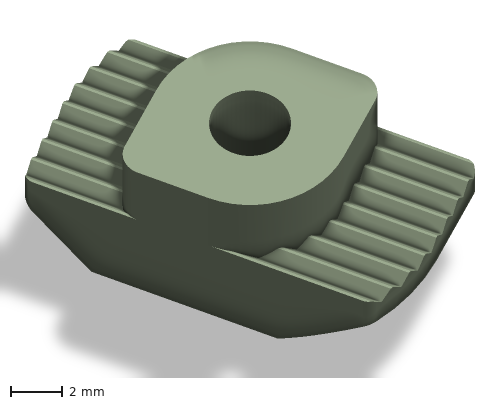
import cadquery as cq

length = 16.0
width = 8.0
base_height = 4.5
boss_height = 3.0
hole_diameter = 3.2
end_wall_start = 3.0
base_corner_radius = 0.5
boss_corner_radius = 1.0
tooth_count = 8
tooth_depth = 0.45
tooth_land = 0.11
edge_crest_drop = 0.06

half_length = length / 2
half_width = width / 2
total_height = base_height + boss_height
tooth_pitch = width / tooth_count
bottom_half_length = half_length - end_wall_start


def end_profile():
    """Half section of the base: 45 degree slope, then a vertical wall."""
    return (
        cq.Workplane("XZ")
        .moveTo(0, 0)
        .lineTo(bottom_half_length, 0)
        .lineTo(half_length, end_wall_start)
        .lineTo(half_length, base_height)
        .lineTo(0, base_height)
        .close()
    )


def make_base():
    """Bar with square ends on two opposite quarters and conical ends on the others."""
    turned = end_profile().revolve(360, (0, 0, 0), (0, 1, 0))
    bar = cq.Workplane("XY").box(length, width, base_height, centered=(True, True, False))
    quarter = end_profile().extrude(-half_width)
    opposite_quarter = quarter.rotate((0, 0, 0), (0, 0, 1), 180)
    base = turned.intersect(bar).union(quarter).union(opposite_quarter)
    return base.intersect(make_base_outline())


def make_base_outline():
    """Upright prism of the rounded base outline."""
    arc_end_x = (half_length**2 - half_width**2) ** 0.5
    return (
        cq.Workplane("XY")
        .moveTo(half_length, 0)
        .lineTo(half_length, half_width)
        .lineTo(-arc_end_x, half_width)
        .radiusArc((-half_length, 0), -half_length)
        .lineTo(-half_length, -half_width)
        .lineTo(arc_end_x, -half_width)
        .radiusArc((half_length, 0), -half_length)
        .close()
        .extrude(base_height)
        .edges("|Z")
        .edges(">Y or <Y")
        .fillet(base_corner_radius)
    )


def make_grooves():
    """V grooves along X, leaving a tooth crest at every pitch from the centre."""
    groove_half_width = (tooth_pitch - tooth_land) / 2
    centres = [(i + 0.5) * tooth_pitch - half_width for i in range(tooth_count)]
    grooves = cq.Workplane("XY")
    for y in centres:
        groove = (
            cq.Workplane("YZ", origin=(0, y, base_height))
            .moveTo(-groove_half_width, 0)
            .lineTo(0, -tooth_depth)
            .lineTo(groove_half_width, 0)
            .close()
            .extrude(half_length, both=True)
        )
        grooves = grooves.add(groove)
    return grooves.combine()


def make_edge_reliefs():
    """Strips that lower the half crests along both long sides."""
    relief_width = tooth_pitch / 2
    relief_centre = half_width - relief_width / 2
    return (
        cq.Workplane("XY", origin=(0, 0, base_height))
        .pushPoints([(0, relief_centre), (0, -relief_centre)])
        .rect(length, relief_width)
        .extrude(-edge_crest_drop)
    )


def make_boss():
    """Leaf-shaped boss: two full quarter rounds and two small corner rounds."""
    return (
        cq.Workplane("XY", origin=(0, 0, end_wall_start))
        .moveTo(0, half_width)
        .lineTo(half_width - boss_corner_radius, half_width)
        .radiusArc((half_width, half_width - boss_corner_radius), boss_corner_radius)
        .lineTo(half_width, 0)
        .radiusArc((0, -half_width), half_width)
        .lineTo(boss_corner_radius - half_width, -half_width)
        .radiusArc((-half_width, boss_corner_radius - half_width), boss_corner_radius)
        .lineTo(-half_width, 0)
        .radiusArc((0, half_width), half_width)
        .close()
        .extrude(total_height - end_wall_start)
    )


def make_hole():
    """Bore along Z through the boss and base."""
    return cq.Workplane("XY").circle(hole_diameter / 2).extrude(total_height)


toothed_base = make_base().cut(make_grooves()).cut(make_edge_reliefs())
result = toothed_base.union(make_boss()).cut(make_hole())